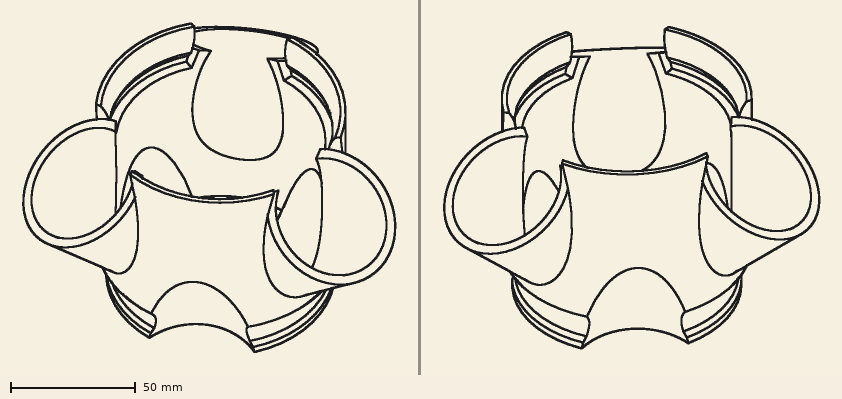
import cadquery as cq
import math

HEIGHT = 93.6
HUB_RADIUS = 100.0 / 2
BORE_RADIUS = 84.0 / 2

BEAD_RADIUS = 45.9
NECK_RADIUS = 44.8
BEAD_HEIGHT = 3.2
NECK_HEIGHT = 5.9
FLARE_TOP = 20.0
STACK_PITCH = 76.5

CUP_COUNT = 3
FIRST_CUP_ANGLE = -90
CUP_ELEVATION = 55.5
CUP_HALF_ANGLE = 10.5
MOUTH_RADIUS = 28.5
MOUTH_REACH = 58.2
MOUTH_HEIGHT = 72.5
CUP_WALL = 3.9
CUP_DEPTH = 67.7
CLEARANCE_LENGTH = 67.7

RELIEF_WALL = 5.4

CUP_PITCH = 360 / CUP_COUNT
CUP_ANGLES = [FIRST_CUP_ANGLE + i * CUP_PITCH for i in range(CUP_COUNT)]
RELIEF_ANGLES = [angle + CUP_PITCH / 2 for angle in CUP_ANGLES]


def cylinder(radius):
    return cq.Workplane("XY").circle(radius).extrude(HEIGHT)


def snap_plug():
    """Solid of revolution of the foot: bead, neck and a flare tangent to the neck."""
    rise = FLARE_TOP - NECK_HEIGHT
    spread = HUB_RADIUS - NECK_RADIUS
    flare_radius = (rise**2 + spread**2) / (2 * spread)
    half_sweep = math.asin(rise / flare_radius) / 2
    flare_middle = (
        NECK_RADIUS + flare_radius * (1 - math.cos(half_sweep)),
        NECK_HEIGHT + flare_radius * math.sin(half_sweep),
    )
    return (
        cq.Workplane("XZ")
        .lineTo(BEAD_RADIUS, 0)
        .lineTo(BEAD_RADIUS, BEAD_HEIGHT)
        .lineTo(NECK_RADIUS, NECK_HEIGHT)
        .threePointArc(flare_middle, (HUB_RADIUS, FLARE_TOP))
        .lineTo(0, FLARE_TOP)
        .close()
        .revolve(360, (0, 0, 0), (0, 1, 0))
    )


def cup_cone(mouth_radius, angle, drop=0, start=-CUP_DEPTH, end=0):
    """Cone on a cup axis from start to end, both measured outward from the mouth."""
    taper = math.tan(math.radians(CUP_HALF_ANGLE))
    elevation = math.radians(CUP_ELEVATION)
    direction = cq.Vector(math.cos(elevation), 0, math.sin(elevation))
    mouth_center = cq.Vector(MOUTH_REACH, 0, MOUTH_HEIGHT - drop)
    cone = cq.Solid.makeCone(
        mouth_radius + start * taper,
        mouth_radius + end * taper,
        end - start,
        mouth_center + direction * start,
        direction,
    )
    return cq.Workplane(cone).rotate((0, 0, 0), (0, 0, 1), angle)


def relief_cone(mouth_radius, angle):
    return cup_cone(mouth_radius, angle, drop=STACK_PITCH, end=CLEARANCE_LENGTH)


foot = snap_plug()
body_top = cq.Workplane("XY").workplane(offset=FLARE_TOP).circle(HUB_RADIUS).extrude(HEIGHT - FLARE_TOP)
bore = cylinder(BORE_RADIUS)
socket = foot.translate((0, 0, STACK_PITCH))
hub = foot.union(body_top).cut(bore).cut(socket)

for angle in CUP_ANGLES:
    hub = hub.cut(cup_cone(MOUTH_RADIUS, angle, start=0, end=CLEARANCE_LENGTH))
    hub = hub.union(cup_cone(MOUTH_RADIUS, angle).cut(bore))

for angle in RELIEF_ANGLES:
    hub = hub.union(relief_cone(MOUTH_RADIUS + RELIEF_WALL, angle).intersect(bore))

for angle in CUP_ANGLES:
    hub = hub.cut(cup_cone(MOUTH_RADIUS - CUP_WALL, angle, end=CLEARANCE_LENGTH))
for angle in RELIEF_ANGLES:
    hub = hub.cut(relief_cone(MOUTH_RADIUS, angle))

result = hub